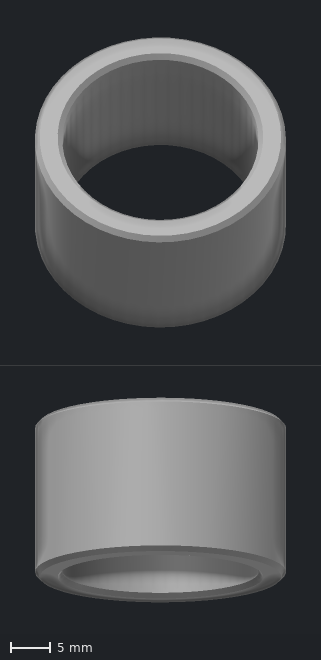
import cadquery as cq

outer_diameter = 32
bore_diameter = 25.0
height = 20.0
chamfer = 0.6

sleeve = (
    cq.Workplane("XY")
    .circle(outer_diameter / 2)
    .circle(bore_diameter / 2)
    .extrude(height)
)

result = sleeve.faces("<Z or >Z").edges().chamfer(chamfer)